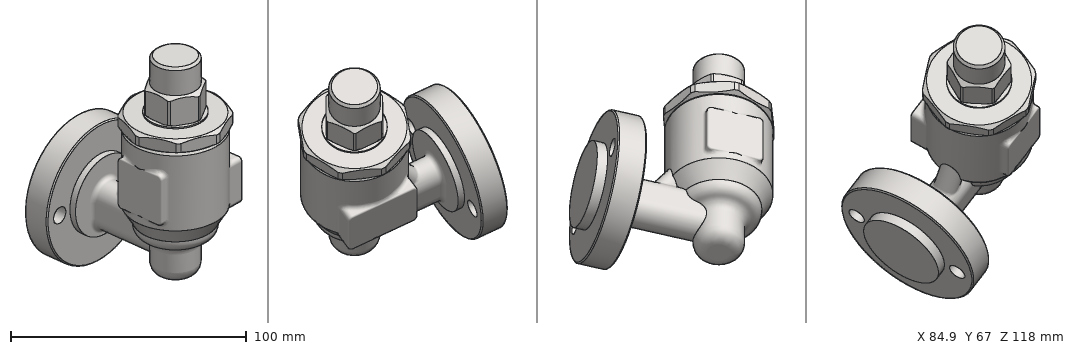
import cadquery as cq
import math


flange_face_x = -60.5
flange_diameter = 67.0
raised_face_height = 4.6
flange_start_x = flange_face_x + raised_face_height
flange_thickness = 12.9
flange_chamfer = 0.6
collar_diameter = 38.0
collar_length = 20.6
collar_end_x = flange_face_x + collar_length
bolt_hole_diameter = 7.8
bolt_hole_offset = 25.5

pipe_radius = 7.5
pipe_drop = 8.4
pipe_fillet = 2.1
branch_radius = 5.3
branch_angle = 56
branch_foot_x = -27.1
branch_foot_z = 3.0
branch_length = 26
branch_fillet = 2.1

nose_radius = 11.0
nose_bottom_z = -22.3
nose_fillet = 5.9
neck_top_z = -7.4
bulb_radius = 18.3
bulb_bottom_z = 2.1
bulb_top_z = 3.3
barrel_radius = 23.0
barrel_bottom_z = 11.5
barrel_shoulder_z = 48.4
barrel_top_radius = 44.0 / 2

nut_bottom_z = 49.6
nut_height = 6.8
nut_top_z = nut_bottom_z + nut_height
nut_across_flats = 45.9
nut_corner_radius = 24.4
nut_face_radius = 22.3

washer_diameter = 27.8
washer_height = 0.7
hex_bottom_z = nut_top_z + washer_height
hex_top_z = 71.0
hex_across_flats = 24.1
hex_corner_radius = 13.6
hex_foot_radius = 12.6
stem_diameter = 22.0
stem_top_z = 84.5
stem_chamfer = 1.2

chamfer_slope = math.tan(math.radians(30))

pad_root_fillet = 2.0
pad_rim_fillet = 0.8
pad_corner_radius = 2.1
front_pad_width = 25.0
front_pad_bottom_z = 14.6
front_pad_top_z = 39.3
front_pad_reach = barrel_radius
rear_pad_width = 33.9
rear_pad_bottom_z = 8.0
rear_pad_top_z = 30.3
rear_pad_reach = 24.0


def disc(radius, bottom_z, top_z):
    return cq.Workplane("XY").workplane(offset=bottom_z).circle(radius).extrude(top_z - bottom_z)


def x_disc(diameter, start_x, end_x):
    return cq.Workplane("YZ").workplane(offset=start_x).circle(diameter / 2).extrude(end_x - start_x)


def body():
    """Turned body from the nose up to the nut."""
    step = bulb_radius - nose_radius
    rise = bulb_bottom_z - neck_top_z
    radius = (step**2 + rise**2) / (4 * step)
    half_angle = math.asin(rise / (2 * radius)) / 2
    sag_r = radius * (1 - math.cos(half_angle))
    sag_z = radius * math.sin(half_angle)
    nose_flat = nose_radius - nose_fillet
    nose_round_z = nose_bottom_z + nose_fillet
    diagonal = nose_fillet * math.sqrt(0.5)
    return (
        cq.Workplane("XZ")
        .moveTo(0, nose_bottom_z)
        .lineTo(nose_flat, nose_bottom_z)
        .threePointArc((nose_flat + diagonal, nose_round_z - diagonal), (nose_radius, nose_round_z))
        .lineTo(nose_radius, neck_top_z)
        .threePointArc(
            (nose_radius + sag_r, neck_top_z + sag_z),
            (nose_radius + step / 2, neck_top_z + rise / 2),
        )
        .threePointArc((bulb_radius - sag_r, bulb_bottom_z - sag_z), (bulb_radius, bulb_bottom_z))
        .lineTo(bulb_radius, bulb_top_z)
        .lineTo(barrel_radius, barrel_bottom_z)
        .lineTo(barrel_radius, barrel_shoulder_z)
        .lineTo(barrel_top_radius, nut_bottom_z)
        .lineTo(0, nut_bottom_z)
        .close()
        .revolve(360, (0, 0, 0), (0, 1, 0))
    )


def is_root(edge, valve, pad):
    """True for an edge that lies on the surfaces of both the body and the pad."""
    tolerance = 0.001
    return all(
        cq.Vertex.makeVertex(*point.toTuple()).distance(skin) < tolerance
        for point in edge.positions((0, 0.3, 1))
        for skin in (valve.val().Shells()[0], pad.val().Shells()[0])
    )


def add_pad(valve, width, bottom_z, top_z, reach, side):
    """Add a rounded pad, blended into the body, on the side = -1 (-Y) or +1 (+Y)."""
    turn = 90 - 90 * side
    pad = (
        cq.Workplane("XY")
        .box(width, reach, top_z - bottom_z, centered=(True, False, False))
        .translate((0, 0, bottom_z))
        .edges("|Y")
        .fillet(pad_corner_radius)
        .faces(">Y")
        .edges()
        .fillet(pad_rim_fillet)
        .rotate((0, 0, 0), (0, 0, 1), turn)
    )
    joined = valve.union(pad)
    return joined.edges().filter(lambda edge: is_root(edge, valve, pad)).fillet(pad_root_fillet)


def prism_nut(sides, across_flats, bottom_z, top_z, bottom_radius, corner_radius, top_radius):
    """Polygonal nut trimmed by a turned envelope with 30 degree chamfers at both ends."""
    circumscribed = across_flats / math.cos(math.pi / sides)
    blank = (
        cq.Workplane("XY")
        .workplane(offset=bottom_z)
        .polygon(sides, circumscribed)
        .extrude(top_z - bottom_z)
    )
    envelope = (
        cq.Workplane("XZ")
        .moveTo(0, bottom_z)
        .lineTo(bottom_radius, bottom_z)
        .lineTo(corner_radius, bottom_z + (corner_radius - bottom_radius) * chamfer_slope)
        .lineTo(corner_radius, top_z - (corner_radius - top_radius) * chamfer_slope)
        .lineTo(top_radius, top_z)
        .lineTo(0, top_z)
        .close()
        .revolve(360, (0, 0, 0), (0, 1, 0))
    )
    return blank.intersect(envelope)


def flange():
    flange_end_x = flange_start_x + flange_thickness
    plate = x_disc(flange_diameter, flange_start_x, flange_end_x).edges().chamfer(flange_chamfer)
    holes = (
        cq.Workplane("YZ")
        .workplane(offset=flange_start_x)
        .pushPoints([(-bolt_hole_offset, 0), (bolt_hole_offset, 0)])
        .circle(bolt_hole_diameter / 2)
        .extrude(flange_thickness)
    )
    return plate.cut(holes).union(x_disc(collar_diameter, flange_face_x, collar_end_x))


def pipe():
    return (
        cq.Workplane("YZ")
        .workplane(offset=collar_end_x)
        .center(0, -pipe_drop / 2)
        .slot2D(pipe_drop + 2 * pipe_radius, 2 * pipe_radius, 90)
        .extrude(-collar_end_x)
    )


def branch():
    slant = math.radians(branch_angle)
    plane = cq.Plane(
        origin=(branch_foot_x, 0, branch_foot_z),
        xDir=(0, 1, 0),
        normal=(math.cos(slant), 0, math.sin(slant)),
    )
    return cq.Workplane(plane).circle(branch_radius).extrude(branch_length)


def inlet():
    """Flange, pipe and branch with the fillets where they meet."""
    margin = 0.1
    pipe_seam = cq.selectors.BoxSelector(
        (collar_end_x - margin, -pipe_radius - margin, -pipe_drop - pipe_radius - margin),
        (collar_end_x + margin, pipe_radius + margin, pipe_radius + margin),
        boundingbox=True,
    )
    branch_seam = cq.selectors.BoxSelector(
        (collar_end_x + pipe_fillet, -pipe_radius, margin),
        (-nose_radius, pipe_radius, pipe_radius + margin),
        boundingbox=True,
    )
    return (
        flange()
        .union(pipe())
        .edges(pipe_seam)
        .fillet(pipe_fillet)
        .union(branch())
        .edges(branch_seam)
        .fillet(branch_fillet)
    )


octagon_nut = prism_nut(
    8, nut_across_flats, nut_bottom_z, nut_top_z,
    nut_face_radius, nut_corner_radius, nut_face_radius,
)
washer = disc(washer_diameter / 2, nut_top_z, hex_bottom_z)
hexagon = prism_nut(
    6, hex_across_flats, hex_bottom_z, hex_top_z,
    hex_foot_radius, hex_corner_radius, stem_diameter / 2,
)
stem = disc(stem_diameter / 2, hex_top_z, stem_top_z).faces(">Z").chamfer(stem_chamfer)

valve = add_pad(body(), front_pad_width, front_pad_bottom_z, front_pad_top_z, front_pad_reach, -1)
valve = add_pad(valve, rear_pad_width, rear_pad_bottom_z, rear_pad_top_z, rear_pad_reach, 1)
result = valve.union(octagon_nut).union(washer).union(hexagon).union(stem).union(inlet())